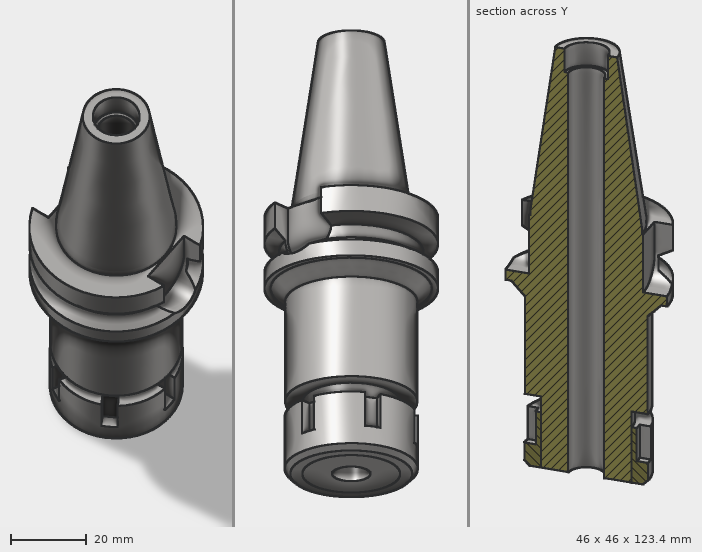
import cadquery as cq
import math


total_height = 123.4
gauge_z = 75.0
flange_top_z = 73.2
upper_rim_bottom_z = 65.8
groove_centre_z = 61.7
lower_rim_bottom_z = 53.1
body_bottom_z = 20.7
nut_top_z = 16.3

taper_ratio = 7 / 24
taper_large_radius = 15.9
flange_diameter = 46.0
groove_radius = 19.1
body_radius = 17.5
shoulder_radius = 21.3
neck_radius = 13.0

flange_radius = flange_diameter / 2
taper_small_radius = taper_large_radius - taper_ratio / 2 * (total_height - gauge_z)
groove_flank_height = (flange_radius - groove_radius) * math.tan(math.radians(30))
groove_top_z = upper_rim_bottom_z - groove_flank_height
groove_bottom_z = 2 * groove_centre_z - groove_top_z
lower_rim_top_z = 2 * groove_centre_z - upper_rim_bottom_z
shoulder_bottom_z = lower_rim_bottom_z - (shoulder_radius - body_radius)

bore_radius = 5.0
counterbore_radius = 6.2
counterbore_depth = 6.8

drive_slot_width = 16.2
drive_slot_floor = 16.3
drive_slot_bottom_z = 56.1

nut_radius = 17.6
nut_chamfer = 1.5
spanner_slot_count = 6
spanner_slot_width = 4.3
spanner_slot_floor = 14.4
spanner_slot_bottom_z = 6.7


def turned_holder():
    """Revolve the holder blank, from the nose up to the small end of the taper."""
    profile = [
        (0, 0),
        (neck_radius, 0),
        (neck_radius, body_bottom_z),
        (body_radius, body_bottom_z),
        (body_radius, shoulder_bottom_z),
        (shoulder_radius, lower_rim_bottom_z),
        (flange_radius, lower_rim_bottom_z),
        (flange_radius, lower_rim_top_z),
        (groove_radius, groove_bottom_z),
        (groove_radius, groove_top_z),
        (flange_radius, upper_rim_bottom_z),
        (flange_radius, flange_top_z),
        (taper_large_radius, flange_top_z),
        (taper_large_radius, gauge_z),
        (taper_small_radius, total_height),
        (0, total_height),
    ]
    return cq.Workplane("XZ").polyline(profile).close().revolve(360, (0, 0, 0), (0, 1, 0))


def stepped_bore():
    """Through bore with a counterbore at the small end of the taper."""
    through = cq.Workplane("XY").circle(bore_radius).extrude(total_height)
    counterbore = (
        cq.Workplane("XY", origin=(0, 0, total_height - counterbore_depth))
        .circle(counterbore_radius)
        .extrude(counterbore_depth)
    )
    return through.union(counterbore)


def drive_slot():
    """Slot on the +X side, open at the top, with a round lower end."""
    half_width = drive_slot_width / 2
    arc_centre_z = drive_slot_bottom_z + half_width
    return (
        cq.Workplane("YZ", origin=(drive_slot_floor, 0, 0))
        .moveTo(-half_width, flange_top_z)
        .lineTo(-half_width, arc_centre_z)
        .threePointArc((0, drive_slot_bottom_z), (half_width, arc_centre_z))
        .lineTo(half_width, flange_top_z)
        .close()
        .extrude(flange_radius - drive_slot_floor)
    )


def make_holder():
    body = turned_holder().cut(stepped_bore())
    for angle in (0, 180):
        body = body.cut(drive_slot().rotate((0, 0, 0), (0, 0, 1), angle))
    return body


def spanner_slot():
    """Slot on the +X side of the nut, open at the nut's top face."""
    return cq.Workplane("XY", origin=(spanner_slot_floor, 0, spanner_slot_bottom_z)).box(
        nut_radius - spanner_slot_floor,
        spanner_slot_width,
        nut_top_z - spanner_slot_bottom_z,
        centered=(False, True, False),
    )


def make_nut():
    """Ring around the neck, chamfered at the bottom and slotted for a spanner."""
    ring = (
        cq.Workplane("XY")
        .circle(nut_radius)
        .extrude(nut_top_z)
        .faces("<Z")
        .chamfer(nut_chamfer)
        .cut(cq.Workplane("XY").circle(neck_radius).extrude(nut_top_z))
    )
    for index in range(spanner_slot_count):
        angle = index * 360 / spanner_slot_count
        ring = ring.cut(spanner_slot().rotate((0, 0, 0), (0, 0, 1), angle))
    return ring


holder = make_holder()
nut = make_nut()

result = cq.Compound.makeCompound([holder.val(), nut.val()])